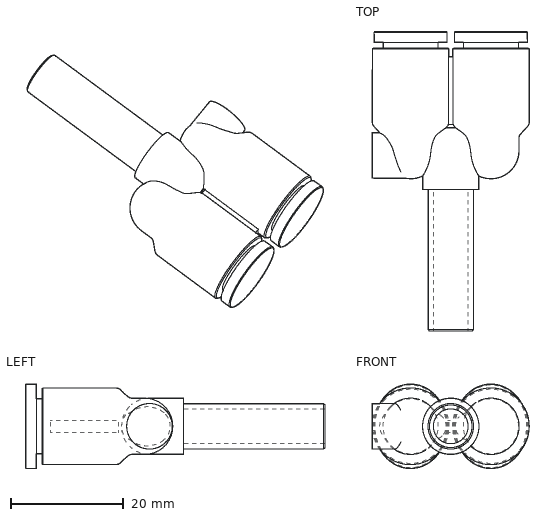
import cadquery as cq

overall_length = 53.1

collar_back = 22.0
collar_thickness = 1.95
collar_width = 12.95
collar_height = 15.0
collar_edge_chamfer = 0.15
collar_front = collar_back - collar_thickness
sleeve_radius = 4.9

socket_offset = 7.1
body_radius = 6.8
collar_gap = 0.95
body_back = collar_front - collar_gap
shoulder_y = 5.45
cone_end_y = 3.5
cone_round = 0.95
neck_radius = 5.0
elbow_center_y = 0.85
body_edge_chamfer = 0.2

web_setback = 1.55
web_back = body_back - web_setback
web_thickness = 2.1

hub_radius = 5.0
hub_front = -6.05
stem_radius = 4.05
stem_front = collar_back - overall_length
stem_edge_chamfer = 0.25
bore_radius = 3.1

plug_radius = 4.05
plug_length = body_radius
plug_face_x = -socket_offset - plug_length


def cylinder_y(radius, y_start, y_end, x=0):
    """Round bar parallel to Y."""
    section = cq.Workplane("XZ", origin=(x, y_start, 0)).circle(radius)
    return section.extrude(y_start - y_end)


def socket(x):
    """Socket body with conical shoulder, neck and ball-shaped elbow."""
    profile = (
        cq.Workplane("XY")
        .moveTo(0, elbow_center_y - neck_radius)
        .radiusArc((neck_radius, elbow_center_y), -neck_radius)
        .lineTo(neck_radius, cone_end_y)
        .lineTo(body_radius, shoulder_y)
        .lineTo(body_radius, body_back)
        .lineTo(0, body_back)
        .close()
    )
    body = profile.revolve(360, (0, 0, 0), (0, 1, 0))
    body = body.faces(">Y").edges().chamfer(body_edge_chamfer)
    margin = 0.25
    cone_zone = cq.selectors.BoxSelector(
        (-body_radius, cone_end_y - margin, -body_radius),
        (body_radius, shoulder_y + margin, body_radius),
    )
    body = body.edges("%CIRCLE").edges(cone_zone).fillet(cone_round)
    return body.translate((x, 0, 0))


def release_collar(x):
    """Oval flange on a round sleeve."""
    flange = (
        cq.Workplane("XZ", origin=(x, collar_back, 0))
        .ellipse(collar_width / 2, collar_height / 2)
        .extrude(collar_thickness)
        .faces(">Y")
        .edges()
        .chamfer(collar_edge_chamfer)
    )
    return flange.union(cylinder_y(sleeve_radius, body_back, collar_front, x))


def socket_web():
    """Flat web in the gap between the two sockets."""
    web = cq.Workplane("XY").box(2 * socket_offset, web_back - shoulder_y, web_thickness)
    return web.translate((0, (web_back + shoulder_y) / 2, 0))


def hub_and_stem():
    """Hub with a ball-shaped inner end, carrying the stem."""
    hub = cylinder_y(hub_radius, hub_front, 0)
    hub_end = cq.Workplane("XY").sphere(hub_radius)
    stem = cylinder_y(stem_radius, stem_front, hub_front)
    stem = stem.faces("<Y").edges().chamfer(stem_edge_chamfer)
    return hub.union(hub_end).union(stem)


def side_plug():
    """Round plug reaching from the outer side to the axis of the left socket."""
    section = cq.Workplane("YZ", origin=(plug_face_x, 0, 0)).circle(plug_radius)
    return section.extrude(plug_length)


result = hub_and_stem().union(side_plug()).union(socket_web())
for socket_x in (-socket_offset, socket_offset):
    result = result.union(socket(socket_x)).union(release_collar(socket_x))

result = result.cut(cylinder_y(bore_radius, stem_front, hub_front))